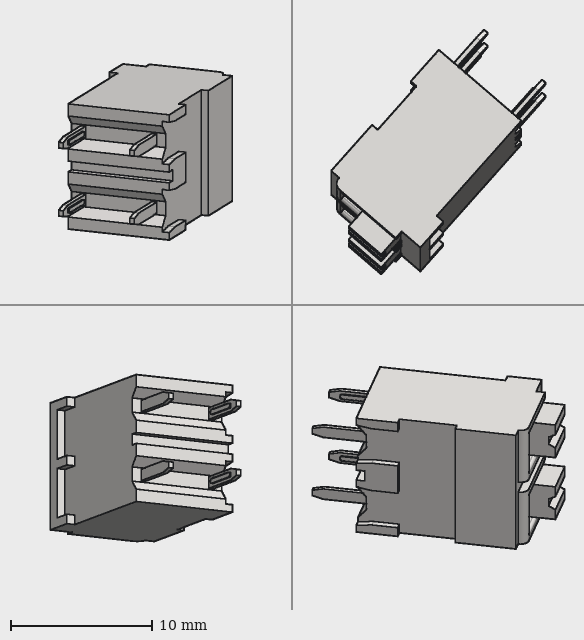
import cadquery as cq


total_length = 17.15
total_height = 9.2

housing_width = 7.77
housing_length = 11.6
pin_length = 3.46
module_gap = 0.79
module_height = (total_height - module_gap) / 2
module_pitch = module_height + module_gap
module_centers = [module_height / 2, module_height / 2 + module_pitch]

groove_depth = 0.62
groove_mouth = 2.42
groove_floor = 1.03

recess_depth = 0.53
recess_start = 3.02
recess_end = 7.19
slot_mouth = 3.1
slot_throat = 2.78
slot_taper = 1.11

rim_height = 0.63
rim_left = 1.13
rim_right = 7.01
rim_thickness = 0.69
rim_corner_radius = 0.62
rim_lip_radius = 0.25

button_left = 1.22
button_width = 3.07
button_height = 2.64
button_reach = total_length - pin_length - housing_length
button_notch_mouth = 1.06
button_notch_floor = 0.55
button_notch_depth = 0.5

rail_depth = 0.63
rail_width = 1.03
arm_length = 2.49
arm_thickness = 0.69

pin_width = 0.36
pin_height = 0.84
pin_tip_height = 0.43
pin_taper = 0.8
pin_left_positions = [0.72, 6.19]
bead_height = 0.36
bead_thickness = 0.1
bead_setback = 0.43


def box(x_range, y_range, z_range):
    """Box between pairs of X, Y and Z limits."""
    spans = [limits[1] - limits[0] for limits in (x_range, y_range, z_range)]
    corner = (x_range[0], y_range[0], z_range[0])
    return cq.Workplane("XY").box(*spans, centered=False).translate(corner)


def extrude_along_x(points, x_start, x_end):
    """Prism with a closed (Y, Z) outline, running from x_start to x_end."""
    return cq.Workplane("YZ", origin=(x_start, 0, 0)).polyline(points).close().extrude(x_end - x_start)


def symmetric_outline(y_start, height_start, y_end, height_end, z_center):
    """Trapezoid in (Y, Z), symmetric about z_center."""
    return [
        (y_start, z_center - height_start / 2),
        (y_end, z_center - height_end / 2),
        (y_end, z_center + height_end / 2),
        (y_start, z_center + height_start / 2),
    ]


def make_rim(z_center):
    """Raised block with a channel that opens to the left and has rounded lips."""
    rim_top = housing_length + rim_height
    rim = box(
        (rim_left, rim_right),
        (housing_length - rim_height, rim_top),
        (z_center - module_height / 2, z_center + module_height / 2),
    )
    rim = rim.edges("|Z and >X and >Y").fillet(rim_corner_radius)
    half_channel = module_height / 2 - rim_thickness
    half_opening = half_channel + rim_lip_radius
    lip_start = rim_top - rim_lip_radius
    arc_offset = rim_lip_radius * (1 - 0.5 ** 0.5)
    channel = (
        cq.Workplane("YZ", origin=(rim_left, 0, z_center))
        .moveTo(housing_length, -half_channel)
        .lineTo(lip_start, -half_channel)
        .threePointArc((rim_top - arc_offset, -half_channel - arc_offset), (rim_top, -half_opening))
        .lineTo(rim_top, half_opening)
        .threePointArc((rim_top - arc_offset, half_channel + arc_offset), (lip_start, half_channel))
        .lineTo(housing_length, half_channel)
        .close()
        .extrude(rim_right - rim_thickness - rim_left)
    )
    return rim.cut(channel)


def make_button(z_center):
    """Button block with a trapezoidal notch across its outer face."""
    button_face = housing_length + button_reach
    button_right = button_left + button_width
    button = box(
        (button_left, button_right),
        (housing_length - rim_height, button_face),
        (z_center - button_height / 2, z_center + button_height / 2),
    )
    notch = symmetric_outline(
        button_face, button_notch_mouth, button_face - button_notch_depth, button_notch_floor, z_center
    )
    return button.cut(extrude_along_x(notch, button_left, button_right))


def make_pin(x_left, z_center):
    """Flat pin with a tapered tip and a round-ended bead facing the middle of the housing."""
    shank = box(
        (x_left, x_left + pin_width),
        (pin_taper - pin_length, 2 * groove_depth),
        (z_center - pin_height / 2, z_center + pin_height / 2),
    )
    tip = symmetric_outline(pin_taper - pin_length, pin_height, -pin_length, pin_tip_height, z_center)
    pin = shank.union(extrude_along_x(tip, x_left, x_left + pin_width))

    on_left_side = x_left < housing_width / 2
    bead_left = x_left + pin_width if on_left_side else x_left - bead_thickness
    bead_start = groove_depth - bead_setback
    bead_end = pin_taper - pin_length
    bead = (
        cq.Workplane("YZ", origin=(bead_left, (bead_start + bead_end) / 2, z_center))
        .slot2D(bead_start - bead_end, bead_height)
        .extrude(bead_thickness)
    )
    return pin.union(bead)


def make_rail():
    """Rail along the left wall with an arm at the bottom, middle and top."""
    rail_x = (-rail_depth, 0)
    rail = box(rail_x, (housing_length - rail_width, housing_length), (0, total_height))
    for arm_bottom in (0, (total_height - arm_thickness) / 2, total_height - arm_thickness):
        arm_z = (arm_bottom, arm_bottom + arm_thickness)
        rail = rail.union(box(rail_x, (housing_length - arm_length, housing_length), arm_z))
    return rail


wall_x = (housing_width - recess_depth, housing_width)
housing = box((0, housing_width), (0, housing_length), (0, total_height))
housing = housing.cut(box(wall_x, (recess_start, recess_end), (0, total_height)))
housing = housing.cut(box((0, housing_width), (0, groove_depth), (module_height, module_pitch)))

for center in module_centers:
    groove = symmetric_outline(0, groove_mouth, groove_depth, groove_floor, center)
    taper = symmetric_outline(0, slot_mouth, slot_taper, slot_throat, center)
    throat = symmetric_outline(slot_taper, slot_throat, recess_start, slot_throat, center)
    housing = housing.cut(extrude_along_x(groove, 0, housing_width))
    housing = housing.cut(extrude_along_x(taper, *wall_x))
    housing = housing.cut(extrude_along_x(throat, *wall_x))

result = housing.union(make_rail())
for center in module_centers:
    result = result.union(make_rim(center)).union(make_button(center))
    for pin_left in pin_left_positions:
        result = result.union(make_pin(pin_left, center))